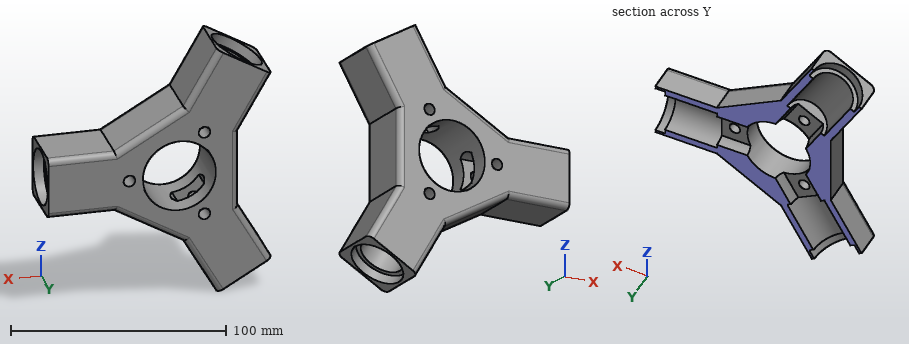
import cadquery as cq
import math

ARM_COUNT = 3
ARM_ANGLE = 360 / ARM_COUNT
ARM_SIZE = 30.0
ARM_REACH = 62.77
ARM_ROOT = 30.8
EDGE_RADIUS = 3.0

HUB_BORE_DIAMETER = 35.0
MOUNT_HOLE_DIAMETER = 5.5
MOUNT_HOLE_OFFSET = 24.0

COUNTERBORE_DIAMETER = 26.8
COUNTERBORE_DEPTH = 5.0
SOCKET_DIAMETER = 22.0
SOCKET_DEPTH = 32.0
PASSAGE_DIAMETER = 18.0
PASSAGE_FLATS = 10.0


def rotate_about_hub(shape, index):
    """Turn a feature of the +X arm into the position of another arm."""
    return shape.rotate((0, 0, 0), (0, 1, 0), index * ARM_ANGLE)


def distance_from_hub_axis(edge):
    """Distance from the hub axis to the middle of an edge."""
    middle = edge.Center()
    return math.hypot(middle.x, middle.z)


def make_body():
    """Three-armed plate with rounded long edges."""
    half_width = ARM_SIZE / 2
    arm_corners = [
        (ARM_ROOT, -half_width),
        (ARM_REACH, -half_width),
        (ARM_REACH, half_width),
        (ARM_ROOT, half_width),
    ]
    outline = []
    for index in range(ARM_COUNT):
        angle = math.radians(index * ARM_ANGLE)
        for along, across in arm_corners:
            x = along * math.cos(angle) - across * math.sin(angle)
            z = along * math.sin(angle) + across * math.cos(angle)
            outline.append((x, z))
    plate = cq.Workplane("XZ").polyline(outline).close().extrude(half_width, both=True)

    outline_edges = plate.faces("|Y").edges()
    long_edges = outline_edges.filter(lambda edge: distance_from_hub_axis(edge) < ARM_REACH - EDGE_RADIUS)
    return long_edges.fillet(EDGE_RADIUS)


def arm_cylinder(diameter, start, end):
    """Cylinder on the axis of the +X arm between two distances from the hub axis."""
    return cq.Workplane("YZ", origin=(start, 0, 0)).circle(diameter / 2).extrude(end - start)


def make_socket():
    """Counterbored socket of the +X arm with its flat-sided passage to the hub bore."""
    floor = ARM_REACH - SOCKET_DEPTH
    counterbore = arm_cylinder(COUNTERBORE_DIAMETER, ARM_REACH - COUNTERBORE_DEPTH, ARM_REACH)
    socket = arm_cylinder(SOCKET_DIAMETER, floor, ARM_REACH)
    flats = cq.Workplane("XY").box(2 * ARM_REACH, PASSAGE_FLATS, PASSAGE_DIAMETER)
    passage = arm_cylinder(PASSAGE_DIAMETER, 0, floor).intersect(flats)
    return counterbore.union(socket).union(passage)


def make_y_hole(diameter, x):
    """Cylinder along Y through the whole part."""
    back_face = cq.Workplane("XZ", origin=(x, ARM_SIZE / 2, 0))
    return back_face.circle(diameter / 2).extrude(ARM_SIZE)


result = make_body().cut(make_y_hole(HUB_BORE_DIAMETER, 0))
for arm in range(ARM_COUNT):
    result = result.cut(rotate_about_hub(make_socket(), arm))
    result = result.cut(rotate_about_hub(make_y_hole(MOUNT_HOLE_DIAMETER, MOUNT_HOLE_OFFSET), arm))